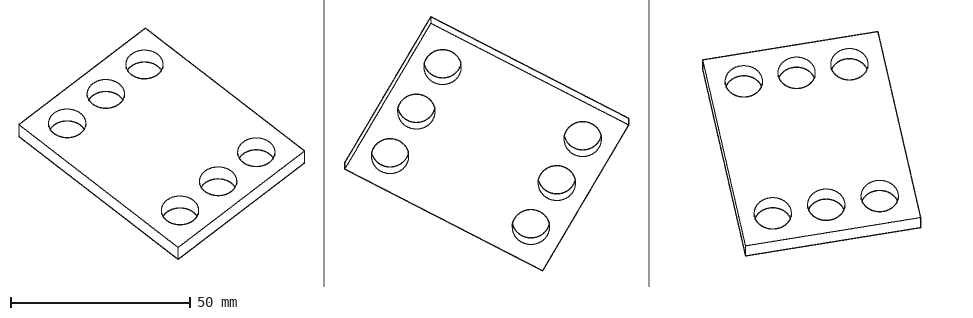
import cadquery as cq

length = 63.0
width = 49.75
thickness = 5.2

hole_diameter = 10.4
end_margin = 9.2
front_margin = 9.9
holes_per_column = 3
left_pitch = 15.2
right_pitch = 15.0

column_x = length / 2 - end_margin
front_row_y = front_margin - width / 2


def column_centres(x, pitch):
    """Hole centres of one column, from the front row backwards."""
    return [(x, front_row_y + row * pitch) for row in range(holes_per_column)]


hole_centres = column_centres(-column_x, left_pitch) + column_centres(column_x, right_pitch)

plate = cq.Workplane("XY").box(length, width, thickness, centered=(True, True, False))
result = plate.faces(">Z").workplane(origin=(0, 0, 0)).pushPoints(hole_centres).hole(hole_diameter)